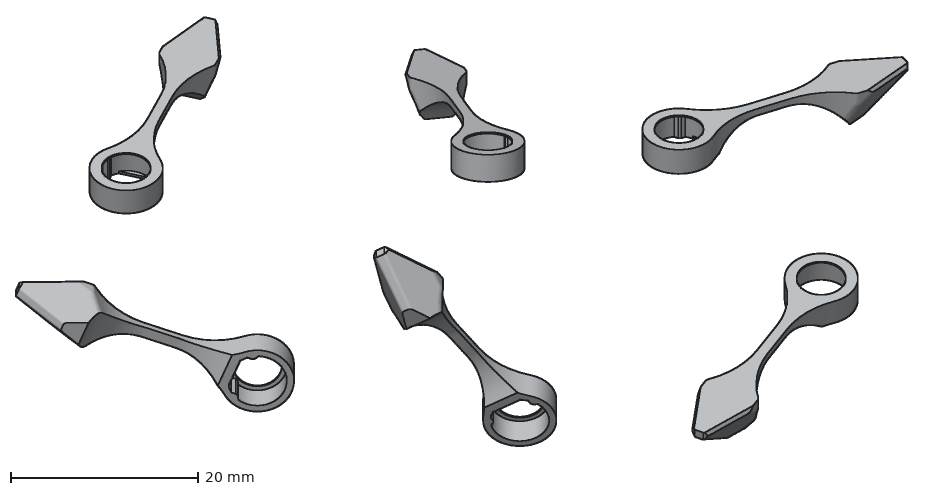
import cadquery as cq
import math

total_length = 31.4
total_height = 5.0
ring_radius = 3.93
ring_height = 3.15
tip_y = total_length - ring_radius

bore_diameter = 5.25
lip_thickness = 0.2
cavity_radius = 3.15
rib_radius = 2.83
rib_angle = 30
rib_base_width = 1.2
rib_top_width = 0.3
ledge_y = bore_diameter / 2
ledge_height = 0.3

arm_half_width = 0.63
ring_flare_radius = 9.58
blade_flare_radius = 10.05
arm_flare_y = 13.25

arm_thickness = 0.88
belly_radius = 8.48
belly_start_y = 9.5
belly_end_y = 12.65

blade_half_width = 3.17
shoulder_radius = 0.75
blade_edge_start_y = 21.85
tip_half_width = 0.97
tip_flat_half_width = 0.5
tip_corner_y = tip_y - 0.22
tip_thickness = 1.07
blade_bottom_y = 22.35

bevel_height = 0.47
bevel_inset = 0.25
undercut_slope = 0.5
wall_rounding = 0.95
underside_rounding = 0.47
rounded_bottom_z = -3.77
cut_margin = 3.15
undercut_probe = (1.9, 22, -2.5)


def arc_between(path, center, radius, start_angle, end_angle):
    """Add the arc around center from the current point, with angles in radians."""
    points = [
        (center[0] + radius * math.cos(a), center[1] + radius * math.sin(a))
        for a in ((start_angle + end_angle) / 2, end_angle)
    ]
    return path.threePointArc(*points)


def plan_body():
    """Full-height plan outline, mirrored about the YZ plane."""
    ring_flare_x = arm_half_width + ring_flare_radius
    blade_flare_x = arm_half_width + blade_flare_radius
    ring_reach = ring_radius + ring_flare_radius
    ring_angle = math.acos(ring_flare_x / ring_reach)
    ring_flare_y = ring_reach * math.sin(ring_angle)

    shoulder_x = blade_half_width - shoulder_radius
    shoulder_reach = blade_flare_radius + shoulder_radius
    shoulder_angle = math.acos((blade_flare_x - shoulder_x) / shoulder_reach)
    shoulder_y = arm_flare_y + shoulder_reach * math.sin(shoulder_angle)

    path = cq.Workplane("XY").moveTo(0, -ring_radius)
    path = arc_between(path, (0, 0), ring_radius, -math.pi / 2, ring_angle)
    path = arc_between(path, (ring_flare_x, ring_flare_y), ring_flare_radius, math.pi + ring_angle, math.pi)
    path = path.lineTo(arm_half_width, arm_flare_y)
    blade_flare_center = (blade_flare_x, arm_flare_y)
    path = arc_between(path, blade_flare_center, blade_flare_radius, math.pi, math.pi - shoulder_angle)
    path = arc_between(path, (shoulder_x, shoulder_y), shoulder_radius, -shoulder_angle, 0)
    path = path.lineTo(blade_half_width, blade_edge_start_y)
    path = path.lineTo(tip_half_width, tip_corner_y)
    path = path.lineTo(tip_flat_half_width, tip_y).lineTo(0, tip_y)
    return path.mirrorY().extrude(-total_height)


def side_body():
    """Side profile in the YZ plane, wide enough to cover the whole plan."""
    center_z = -arm_thickness - belly_radius
    ring_angle = math.pi - math.asin((-ring_height - center_z) / belly_radius)
    blade_angle = math.asin((-total_height - center_z) / belly_radius)
    belly_ring_y = belly_start_y + belly_radius * math.cos(ring_angle)

    path = cq.Workplane("YZ").moveTo(-ring_radius, 0).lineTo(-ring_radius, -ring_height)
    path = path.lineTo(belly_ring_y, -ring_height)
    path = arc_between(path, (belly_start_y, center_z), belly_radius, ring_angle, math.pi / 2)
    path = path.lineTo(belly_end_y, -arm_thickness)
    path = arc_between(path, (belly_end_y, center_z), belly_radius, math.pi / 2, blade_angle)
    path = path.lineTo(blade_bottom_y, -total_height)
    path = path.lineTo(tip_y, -tip_thickness).lineTo(tip_y, 0).close()
    return path.extrude(ring_radius + 0.3, both=True)


def blade_side_cutter():
    """Material to remove outside the bevel and undercut of the +X blade side."""
    run_x = blade_half_width - tip_half_width
    run_y = blade_edge_start_y - tip_corner_y
    edge_length = math.hypot(run_x, run_y)
    section = cq.Plane(
        origin=(tip_half_width, tip_corner_y, -bevel_height),
        xDir=(-run_y, run_x, 0),
        normal=(run_x, run_y, 0),
    )
    return (
        cq.Workplane(section)
        .workplane(offset=-cut_margin)
        .moveTo(0, 0)
        .lineTo(-bevel_inset, bevel_height)
        .lineTo(cut_margin, bevel_height)
        .lineTo(cut_margin, -total_height)
        .lineTo(-undercut_slope * total_height, -total_height)
        .close()
        .extrude(edge_length + 2 * cut_margin)
    )


def ring_cavity():
    """Space under the lip, leaving the ribs and the ledge standing."""
    cavity_height = ring_height - lip_thickness
    base = cq.Workplane("XY").workplane(offset=-ring_height)
    cavity = base.circle(cavity_radius).extrude(cavity_height)
    rib_root = cavity_radius + 0.3
    rib_flank = cavity_radius * math.cos(math.asin(rib_base_width / 2 / cavity_radius))
    rib_outline = [
        (rib_radius, -rib_top_width / 2),
        (rib_flank, -rib_base_width / 2),
        (rib_root, -rib_base_width / 2),
        (rib_root, rib_base_width / 2),
        (rib_flank, rib_base_width / 2),
        (rib_radius, rib_top_width / 2),
    ]
    for angle in (rib_angle, 180 - rib_angle):
        rib = base.polyline(rib_outline).close().extrude(cavity_height)
        cavity = cavity.cut(rib.rotate((0, 0, 0), (0, 0, 1), angle))
    ledge_depth = cavity_radius - ledge_y
    ledge = base.center(0, ledge_y + ledge_depth / 2).rect(2 * cavity_radius, ledge_depth)
    return cavity.cut(ledge.extrude(ledge_height))


def undercut_edges(body, side):
    """Wall edges and underside edges of one undercut face; side is +1 or -1."""
    probe_x, probe_y, probe_z = undercut_probe
    probe = (side * probe_x, probe_y, probe_z)
    face = body.faces(cq.selectors.NearestToPointSelector(probe)).val()
    walls = []
    underside = []
    for edge in face.Edges():
        center = edge.Center()
        if not rounded_bottom_z < center.z < -2 * bevel_height:
            continue
        if center.y < blade_bottom_y:
            walls.append(edge)
        elif center.y < tip_corner_y:
            underside.append(edge)
    return walls, underside


body = plan_body().intersect(side_body())
cutter = blade_side_cutter()
body = body.cut(cutter).cut(cutter.mirror("YZ"))
for side in (1, -1):
    walls, _ = undercut_edges(body, side)
    body = body.newObject(walls).fillet(wall_rounding)
    _, underside = undercut_edges(body, side)
    body = body.newObject(underside).fillet(underside_rounding)

bore = cq.Workplane("XY").circle(bore_diameter / 2).extrude(-ring_height)
result = body.cut(bore).cut(ring_cavity())